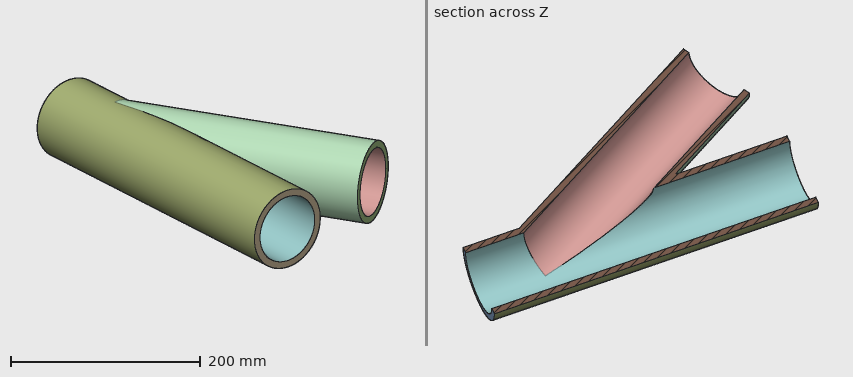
import cadquery as cq

main_length = 368.3
outer_diameter = 88.8
bore_diameter = 73.5

branch_angle = 30
branch_length = 292.5
junction_x = 76.0

main_start = cq.Plane.YZ()
branch_start = cq.Plane.YZ(origin=(junction_x, 0, 0)).rotated((0, branch_angle, 0))


def rod(start, diameter, length):
    """Solid cylinder running from a start plane along its normal."""
    return cq.Workplane(start).circle(diameter / 2).extrude(length)


def wye(diameter):
    """Main and branch rods of one diameter, joined."""
    main = rod(main_start, diameter, main_length)
    branch = rod(branch_start, diameter, branch_length)
    return main.union(branch)


result = wye(outer_diameter).cut(wye(bore_diameter))